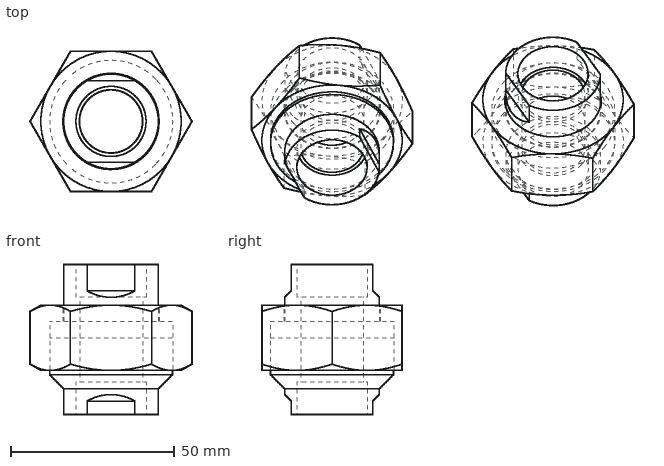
import cadquery as cq
import math


union_height = 46.0
pipe_radius = 29.0 / 2
bore_radius = 19.3 / 2
socket_radius = 21.5 / 2
socket_depth = 10.0

flat_spacing = 25.0
upper_flat_length = 8.1
lower_flat_length = 4.1

nut_across_flats = 43.0
nut_height = 20.0
nut_bottom = 13.5
nut_top = nut_bottom + nut_height
nut_lip_thickness = 5.0
nut_lip_radius = 29.5 / 2
nut_chamfer_angle = 30.0

collar_radius = 37.7 / 2
collar_bottom = 12.2
cone_bottom = collar_bottom - (collar_radius - pipe_radius)
flange_top = nut_top - nut_lip_thickness
flange_thickness = 5.0
joint_height = flange_top - flange_thickness


def revolved(outline):
    """Solid of revolution about Z from (radius, height) points."""
    return cq.Workplane("XZ").polyline(outline).close().revolve(360, (0, 0), (0, 1))


def cut_flats(body, end_height, inward, flat_length):
    """Cut a flat on the -Y and +Y sides, from the end face inward (+1 for up, -1 for down)."""
    flat_offset = flat_spacing / 2
    ramp = pipe_radius - flat_offset
    flat_end = end_height + inward * flat_length
    ramp_end = flat_end + inward * ramp
    for side in (-1, 1):
        waste = (
            cq.Workplane("YZ")
            .moveTo(side * flat_offset, end_height)
            .lineTo(side * flat_offset, flat_end)
            .lineTo(side * pipe_radius, ramp_end)
            .lineTo(side * pipe_radius, end_height)
            .close()
            .extrude(pipe_radius, both=True)
        )
        body = body.cut(waste)
    return body


def make_lower_end():
    """Pipe end widening through a cone to the collar that fills the lower part of the nut."""
    body = revolved([
        (socket_radius, 0),
        (pipe_radius, 0),
        (pipe_radius, cone_bottom),
        (collar_radius, collar_bottom),
        (collar_radius, joint_height),
        (bore_radius, joint_height),
        (bore_radius, socket_depth),
        (socket_radius, socket_depth),
    ])
    return cut_flats(body, 0, 1, lower_flat_length)


def make_upper_end():
    """Pipe end with a flange held under the lip of the nut."""
    socket_floor = union_height - socket_depth
    body = revolved([
        (bore_radius, joint_height),
        (collar_radius, joint_height),
        (collar_radius, flange_top),
        (pipe_radius, flange_top),
        (pipe_radius, union_height),
        (socket_radius, union_height),
        (socket_radius, socket_floor),
        (bore_radius, socket_floor),
    ])
    return cut_flats(body, union_height, -1, upper_flat_length)


def make_nut():
    """Hexagonal nut with corners on the X axis, chamfered corners and a lip at the top of its bore."""
    chamfer_radius = nut_across_flats / 2
    across_corners = nut_across_flats / math.cos(math.radians(30))
    corner_radius = across_corners / 2
    corner_drop = (corner_radius - chamfer_radius) * math.tan(math.radians(nut_chamfer_angle))
    hexagon = (
        cq.Workplane("XY")
        .workplane(offset=nut_bottom)
        .polygon(6, across_corners)
        .extrude(nut_height)
    )
    chamfered_ring = revolved([
        (collar_radius, nut_bottom),
        (chamfer_radius, nut_bottom),
        (corner_radius, nut_bottom + corner_drop),
        (corner_radius, nut_top - corner_drop),
        (chamfer_radius, nut_top),
        (nut_lip_radius, nut_top),
        (nut_lip_radius, flange_top),
        (collar_radius, flange_top),
    ])
    return hexagon.intersect(chamfered_ring)


lower_end = make_lower_end()
upper_end = make_upper_end()
nut = make_nut()

result = cq.Compound.makeCompound([
    *lower_end.solids().vals(),
    *upper_end.solids().vals(),
    *nut.solids().vals(),
])